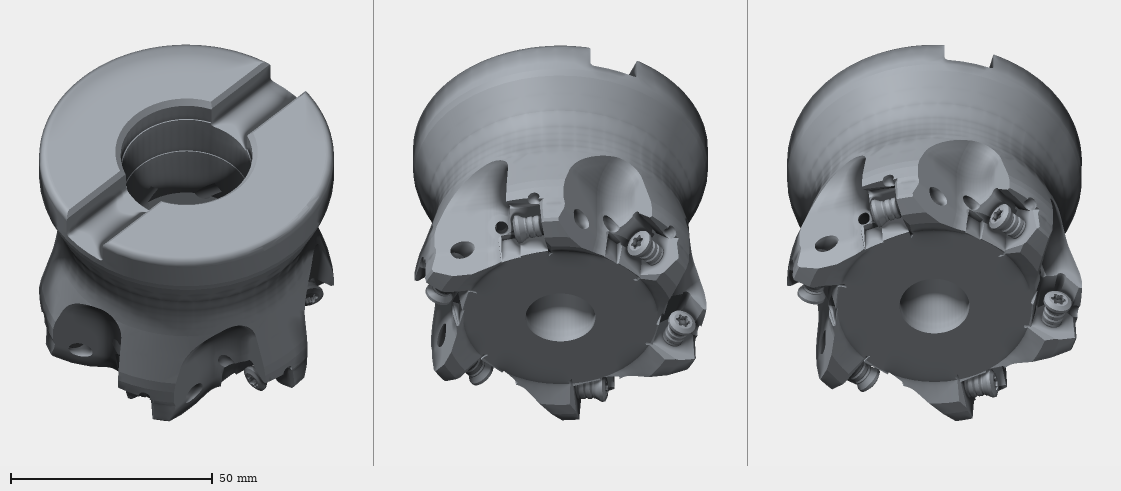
import cadquery as cq
import math

tooth_count = 6
tooth_pitch = 360 / tooth_count
body_radius = 36.65
body_height = 62.2
top_edge_fillet = 2.0

flange_bottom = 53.2
flange_cone_radius = 36.2
flange_cone_top = 51.3
waist_top = (32.65, 42.7)
waist_middle = (31.35, 35.6)
waist_bottom = (32.3, 29.5)
skirt_cone_radius = 36.2
skirt_cone_bottom = 16.0
skirt_land_top = 13.2
skirt_land_bottom = 9.3

tooth_neck_radius = 36.3
tooth_neck_height = 7.75
tooth_corner_top = 2.5
tooth_corner = (36.2, 1.7)
ridge_outer_radius = 32.2
ridge_inner_radius = 28.8
hub_radius = 24.2
hub_height = 2.8

bore_radius = 16.1
bore_floor = 29.0
bore_lead = 0.3
bore_step = 0.25
bore_step_top = 44.5
bore_lead_bottom = 56.0
bore_chamfer = 1.3
bolt_hole_radius = 8.7
bolt_hole_chamfer = 0.3

slot_width = 12.5
slot_depth = 7.1
slot_chamfer = 1.1
slot_corner = 1.0

flute_floor = 23.4
flute_wall = -8.35
flute_corner_radius = 6.5
flute_runout_height = 20.5
flute_runout_radius = 11.8
flute_length = 34.0
flute_bend_top = 7.0
flute_bend_bottom = 5.6
flute_undercut_angle = 15.0
tool_overrun = 10.0

seat_center = (30.0, 0.2, 6.4)
seat_tilt = 5.0
pocket_apex = (0.5, 7.2)
pocket_inner_corner = (-3.9, 3.3)
pocket_inner_foot = (-6.1, -9.0)
pocket_outer_corner = (4.3, 3.3)
pocket_draft = 10.0
pocket_depth = 12.0
corner_relief_radius = 1.1
corner_relief_shift = 0.8
notch_radius = 1.7
notch_center = (35.7, -1.3, 10.1)
clearance_top = 9.6
clearance_start = (22.6, -11.3)
clearance_end = (23.1, -6.5)

lower_bevel_outline = [(-7.5, -2.2), (10.0, -10.7), (-7.5, -10.7)]
lower_bevel_depth = 1.2
outer_bevel_start = (34.3, -1.0)
outer_bevel_end = (37.8, 2.2)
bevel_angle = 45.0

coolant_radius = 1.6
coolant_exit = cq.Vector(24.7, -11.1, 11.9)
coolant_overrun = 6.0

shank_radius = 2.65
screw_hole_depth = 17.0
screw_tail = -6.0
tail_chamfer = 0.4
thread_pitch = 1.65
thread_depth = 0.3
thread_crest = 0.9
thread_count = 6
head_radius = 3.5
head_face_radius = 2.4
head_cone_bottom = 4.6
head_cone_top = 6.0
head_rim_top = 6.8
head_top = 7.4
lobe_count = 6
socket_core_radius = 1.45
lobe_radius = 0.45
lobe_circle_radius = 1.5
socket_depth = 1.6

tilt = math.radians(seat_tilt)
seat_plane = cq.Plane(
    origin=seat_center,
    xDir=(1, 0, 0),
    normal=(0, -math.cos(tilt), -math.sin(tilt)),
)


def around_axis(shape, index):
    return shape.rotate((0, 0, 0), (0, 0, 1), index * tooth_pitch)


def turned_body():
    outline = (
        cq.Workplane("XZ")
        .moveTo(0, hub_height)
        .lineTo(hub_radius, hub_height)
        .lineTo(ridge_inner_radius, 0)
        .lineTo(ridge_outer_radius, 0)
        .lineTo(*tooth_corner)
        .lineTo(body_radius, tooth_corner_top)
        .lineTo(tooth_neck_radius, tooth_neck_height)
        .lineTo(body_radius, skirt_land_bottom)
        .lineTo(body_radius, skirt_land_top)
        .lineTo(skirt_cone_radius, skirt_cone_bottom)
        .lineTo(*waist_bottom)
        .threePointArc(waist_middle, waist_top)
        .lineTo(flange_cone_radius, flange_cone_top)
        .lineTo(body_radius, flange_bottom)
        .lineTo(body_radius, body_height)
        .lineTo(0, body_height)
        .close()
    )
    blank = outline.revolve(360, (0, 0, 0), (0, 1, 0))
    return blank.faces(">Z").edges().fillet(top_edge_fillet)


def bore():
    lower_radius = bore_radius - bore_step
    lead_radius = bore_radius + bore_lead
    outline = (
        cq.Workplane("XZ")
        .moveTo(0, 0)
        .lineTo(bolt_hole_radius, 0)
        .lineTo(bolt_hole_radius, bore_floor - bolt_hole_chamfer)
        .lineTo(bolt_hole_radius + bolt_hole_chamfer, bore_floor)
        .lineTo(lower_radius, bore_floor)
        .lineTo(lower_radius, bore_step_top)
        .lineTo(bore_radius, bore_step_top)
        .lineTo(bore_radius, bore_lead_bottom)
        .lineTo(lead_radius, bore_lead_bottom)
        .lineTo(lead_radius, body_height - bore_chamfer)
        .lineTo(lead_radius + bore_chamfer, body_height)
        .lineTo(0, body_height)
        .close()
    )
    return outline.revolve(360, (0, 0, 0), (0, 1, 0))


def drive_slot():
    half_width = slot_width / 2
    floor = body_height - slot_depth
    outline = (
        cq.Workplane("XZ", origin=(0, body_radius, 0))
        .moveTo(-half_width + slot_corner, floor)
        .lineTo(half_width - slot_corner, floor)
        .radiusArc((half_width, floor + slot_corner), -slot_corner)
        .lineTo(half_width, body_height - slot_chamfer)
        .lineTo(half_width + slot_chamfer, body_height)
        .lineTo(-half_width - slot_chamfer, body_height)
        .lineTo(-half_width, body_height - slot_chamfer)
        .lineTo(-half_width, floor + slot_corner)
        .radiusArc((-half_width + slot_corner, floor), -slot_corner)
        .close()
    )
    return outline.extrude(2 * body_radius)


def flute():
    undercut = math.radians(flute_undercut_angle)
    bend_inset = (flute_bend_top - flute_bend_bottom) * math.tan(undercut / 2)
    undercut_inset = (flute_bend_bottom + tool_overrun) * math.tan(undercut)
    bend_end = (flute_floor - bend_inset, flute_bend_bottom)
    runout_end = flute_floor + 2 * flute_runout_radius
    outline = (
        cq.Workplane("XZ", origin=(0, flute_wall, 0))
        .moveTo(flute_floor, flute_runout_height)
        .lineTo(flute_floor, flute_bend_top)
        .tangentArcPoint(bend_end, relative=False)
        .lineTo(bend_end[0] - undercut_inset, -tool_overrun)
        .lineTo(runout_end, -tool_overrun)
        .lineTo(runout_end, flute_runout_height)
        .threePointArc(
            (flute_floor + flute_runout_radius, flute_runout_height + flute_runout_radius),
            (flute_floor, flute_runout_height),
        )
        .close()
    )
    return outline.extrude(flute_length).faces(">Y").edges().fillet(flute_corner_radius)


def insert_pocket():
    beyond = body_radius - seat_center[0] + tool_overrun
    recess = (
        cq.Workplane(seat_plane)
        .polyline([
            pocket_apex,
            pocket_inner_corner,
            pocket_inner_foot,
            (beyond, pocket_inner_foot[1]),
            (beyond, pocket_outer_corner[1]),
            pocket_outer_corner,
        ])
        .close()
        .extrude(pocket_depth, taper=-pocket_draft)
    )
    relief_points = [
        (pocket_apex[0], pocket_apex[1] + corner_relief_shift),
        (pocket_inner_corner[0] - corner_relief_shift, pocket_inner_corner[1]),
    ]
    reliefs = (
        cq.Workplane(seat_plane)
        .pushPoints(relief_points)
        .circle(corner_relief_radius)
        .extrude(pocket_depth)
    )
    notch = cq.Workplane("XY").sphere(notch_radius).translate(notch_center)
    return recess.union(reliefs).union(notch)


def pocket_clearance():
    beyond = body_radius + tool_overrun
    outline = (
        cq.Workplane("XY", origin=(0, 0, clearance_top))
        .polyline([
            clearance_start,
            clearance_end,
            (beyond, clearance_end[1]),
            (beyond, clearance_start[1]),
        ])
        .close()
    )
    return outline.extrude(-clearance_top - tool_overrun)


def seat_bevels():
    lower = (
        cq.Workplane(seat_plane)
        .polyline(lower_bevel_outline)
        .close()
        .extrude(-lower_bevel_depth, taper=bevel_angle)
    )
    outer = (
        cq.Workplane("XY")
        .polyline([
            outer_bevel_start,
            outer_bevel_end,
            (outer_bevel_end[0], outer_bevel_start[1]),
        ])
        .close()
        .extrude(skirt_land_bottom)
    )
    return lower.union(outer)


def coolant_hole():
    entry_angle = math.radians(-tooth_pitch)
    entry = cq.Vector(
        bore_radius * math.cos(entry_angle),
        bore_radius * math.sin(entry_angle),
        bore_floor,
    )
    path = coolant_exit - entry
    direction = path.normalized()
    start = entry - direction * coolant_overrun
    length = path.Length + 2 * coolant_overrun
    return cq.Workplane(cq.Solid.makeCylinder(coolant_radius, length, start, direction))


def screw_hole():
    return cq.Workplane(seat_plane).circle(shank_radius).extrude(-screw_hole_depth)


def screw():
    root_radius = shank_radius - thread_depth
    outline = (
        cq.Workplane("XZ")
        .moveTo(0, screw_tail)
        .lineTo(shank_radius - tail_chamfer, screw_tail)
        .lineTo(shank_radius, screw_tail + tail_chamfer)
    )
    flank = (thread_pitch - thread_crest) / 2
    for turn in range(thread_count):
        crest_end = screw_tail + tail_chamfer + turn * thread_pitch + thread_crest
        outline = (
            outline.lineTo(shank_radius, crest_end)
            .lineTo(root_radius, crest_end + flank)
            .lineTo(shank_radius, crest_end + 2 * flank)
        )
    outline = (
        outline.lineTo(shank_radius, head_cone_bottom)
        .lineTo(head_radius, head_cone_top)
        .lineTo(head_radius, head_rim_top)
        .lineTo(head_face_radius, head_top)
        .lineTo(0, head_top)
        .close()
    )
    blank = outline.revolve(360, (0, 0, 0), (0, 1, 0))
    socket_plane = cq.Workplane("XY", origin=(0, 0, head_top))
    core = socket_plane.circle(socket_core_radius).extrude(-socket_depth)
    lobes = (
        socket_plane.polarArray(lobe_circle_radius, 0, 360, lobe_count)
        .circle(lobe_radius)
        .extrude(-socket_depth)
    )
    return blank.cut(core).cut(lobes).val().moved(cq.Location(seat_plane))


cutter = turned_body().cut(bore()).cut(drive_slot())
tooth_cuts = [
    flute(),
    insert_pocket(),
    pocket_clearance(),
    seat_bevels(),
    coolant_hole(),
    screw_hole(),
]
for index in range(tooth_count):
    for tool in tooth_cuts:
        cutter = cutter.cut(around_axis(tool, index))

screws = [around_axis(screw(), index) for index in range(tooth_count)]

result = cq.Compound.makeCompound([cutter.val(), *screws])